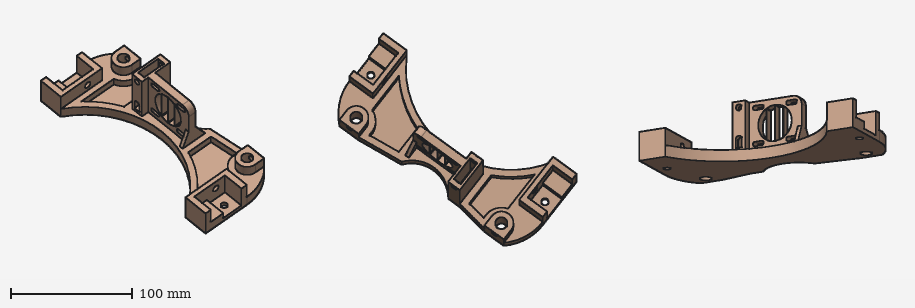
import cadquery as cq
import math

length = 200.0
depth = 80.0
plate_top = 10.0
side_radius = 44.8
front_sagitta = 44.0
saddle_depth = 12.0

box_width = 24.5
box_depth = 46.5
box_top = 25.0
box_floor = 4.0
box_wall_x = 4.5
box_wall_y = 6.0
box_step_y = 20.0
box_hole_diameter = 6.0
box_side_hole_z = 16.5

boss_x = 75.0
boss_y = 70.0
boss_radius = 10.0
boss_top = 20.0
boss_bore_diameter = 10.0
boss_cross_hole_z = 15.0
pin_diameter = 5.2

upright_top = 53.0
tower_left = -36.0
tower_right = -24.0
tower_front = 43.5
tower_back = 75.5
tower_slot_width = 7.2
tower_slot_depth = 22.5
tower_slot_floor = 13.0
tower_window_width = 6.0
tower_window_height = 10.2
tower_pin_z = 47.8
bracket_right = 25.0
bracket_front = 50.5
bracket_back = 58.5
bracket_corner_radius = 8.0
opening_diameter = 31.2
opening_z = 32.0
fin_pitch = 7.8
fin_thickness = 0.5
bracket_slot_offset = 15.5
bracket_slot_length = 10.0
bracket_slot_height = 4.0
gusset_width = 3.5
gusset_height = 16.0
gusset_front_reach = 6.8
gusset_back_reach = 10.8

pocket_floor = 3.0
pocket_margin = 6.0
pocket_outer_x = 70.2

half_length = length / 2
box_inner_x = half_length - box_width
box_pocket_back = box_depth - box_wall_y
box_hole_y = (box_step_y + box_pocket_back) / 2
box_hole_x = half_length - (box_width - box_wall_x) / 2
front_radius = (box_inner_x**2 + front_sagitta**2) / (2 * front_sagitta)
front_center_y = front_sagitta - front_radius
saddle_half_width = -tower_right
tower_x = (tower_left + tower_right) / 2
tower_y = (tower_front + tower_back) / 2
boss_inner_x = boss_x - boss_radius
boss_outer_x = boss_x + boss_radius


def block(x0, x1, y0, y1, z0, z1):
    """Axis-aligned block between two opposite corners."""
    return cq.Workplane("XY").box(x1 - x0, y1 - y0, z1 - z0, centered=False).translate((x0, y0, z0))


def upright_plane(x, y, z):
    """Plane parallel to XZ whose positive extrusion runs towards +Y."""
    return cq.Plane(origin=(x, y, z), xDir=(-1, 0, 0), normal=(0, 1, 0))


def both_sides(half):
    """The given shape together with its mirror image about X = 0."""
    return half.union(half.mirror("YZ"))


def make_plate():
    arc_width = half_length - boss_outer_x
    arc_height = math.sqrt(side_radius**2 - (side_radius - arc_width) ** 2)
    arc_start_y = depth - arc_height
    return (
        cq.Workplane("XY")
        .moveTo(-half_length, 0)
        .lineTo(-box_inner_x, 0)
        .threePointArc((0, front_sagitta), (box_inner_x, 0))
        .lineTo(half_length, 0)
        .lineTo(half_length, arc_start_y)
        .radiusArc((boss_outer_x, depth), -side_radius)
        .lineTo(boss_inner_x, depth)
        .lineTo(saddle_half_width, tower_back)
        .threePointArc((0, tower_back - saddle_depth), (-saddle_half_width, tower_back))
        .lineTo(tower_left, tower_back)
        .lineTo(-boss_inner_x, depth)
        .lineTo(-boss_outer_x, depth)
        .radiusArc((-half_length, arc_start_y), -side_radius)
        .close()
        .extrude(plate_top)
    )


def plate_pocket(side, inner_x, rear_corner_x):
    """Pocket on one side (+1 or -1), keeping a margin to the bosses, arches and rear edge.

    rear_corner_x is where the sloping rear edge of the plate meets the saddle or the tower.
    """
    slope = (depth - tower_back) / (boss_inner_x - rear_corner_x)
    rim_drop = pocket_margin * math.hypot(1, slope)
    front_rim_radius = front_radius + pocket_margin
    boss_rim_radius = boss_radius + pocket_margin
    boss_rim_x = boss_x - boss_rim_radius

    def rear_y(x):
        return tower_back + slope * (x - rear_corner_x) - rim_drop

    def front_y(x):
        return front_center_y + math.sqrt(front_rim_radius**2 - x**2)

    def boss_rim_y(x):
        return boss_y - math.sqrt(boss_rim_radius**2 - (x - boss_x) ** 2)

    def point(x, y):
        return (side * x, y)

    front_middle_x = (inner_x + pocket_outer_x) / 2
    boss_middle_x = (boss_rim_x + pocket_outer_x) / 2
    return (
        cq.Workplane("XY")
        .workplane(offset=pocket_floor)
        .moveTo(*point(inner_x, front_y(inner_x)))
        .threePointArc(
            point(front_middle_x, front_y(front_middle_x)),
            point(pocket_outer_x, front_y(pocket_outer_x)),
        )
        .lineTo(*point(pocket_outer_x, boss_rim_y(pocket_outer_x)))
        .threePointArc(point(boss_middle_x, boss_rim_y(boss_middle_x)), point(boss_rim_x, boss_y))
        .lineTo(*point(boss_rim_x, rear_y(boss_rim_x)))
        .lineTo(*point(inner_x, rear_y(inner_x)))
        .close()
        .extrude(plate_top - pocket_floor)
    )


def make_boss():
    body = cq.Workplane("XY").center(boss_x, boss_y).circle(boss_radius).extrude(boss_top)
    return body.union(block(boss_inner_x, boss_outer_x, boss_y, depth, 0, boss_top))


def boss_holes():
    bore = cq.Workplane("XY").center(boss_x, boss_y).circle(boss_bore_diameter / 2).extrude(boss_top)
    cross_plane = upright_plane(boss_x, boss_y, boss_cross_hole_z)
    cross_hole = cq.Workplane(cross_plane).circle(pin_diameter / 2).extrude(depth - boss_y)
    return bore.union(cross_hole)


def make_box():
    return block(box_inner_x, half_length, 0, box_depth, 0, box_top)


def box_cutouts():
    """Stepped pocket open to the outer side, with a floor hole and a hole through the inner wall."""
    inside_x = box_inner_x + box_wall_x
    upper = block(inside_x, half_length, box_wall_y, box_pocket_back, plate_top, box_top)
    lower = block(inside_x, half_length, box_step_y, box_pocket_back, box_floor, plate_top)
    hole_radius = box_hole_diameter / 2
    floor_hole = cq.Workplane("XY").center(box_hole_x, box_hole_y).circle(hole_radius).extrude(plate_top)
    side_hole = (
        cq.Workplane("YZ", origin=(box_inner_x, box_hole_y, box_side_hole_z))
        .circle(hole_radius)
        .extrude(box_width)
    )
    return upper.union(lower).union(floor_hole).union(side_hole)


def make_tower():
    tower = block(tower_left, tower_right, tower_front, tower_back, 0, upright_top)
    slot = (
        cq.Workplane("XY", origin=(tower_x, tower_y, tower_slot_floor))
        .rect(tower_slot_width, tower_slot_depth)
        .extrude(upright_top - tower_slot_floor)
    )
    pin_plane = upright_plane(tower_x, tower_front, tower_pin_z)
    pin_hole = cq.Workplane(pin_plane).circle(pin_diameter / 2).extrude(tower_back - tower_front)

    half_window = tower_window_width / 2
    spring_height = tower_window_height - half_window
    window = (
        cq.Workplane(upright_plane(tower_x, tower_front, tower_slot_floor))
        .moveTo(-half_window, 0)
        .lineTo(half_window, 0)
        .lineTo(half_window, spring_height)
        .threePointArc((0, tower_window_height), (-half_window, spring_height))
        .close()
        .extrude(tower_y - tower_front)
    )
    return tower.cut(slot).cut(pin_hole).cut(window)


def make_bracket():
    thickness = bracket_back - bracket_front
    plate = block(tower_right, bracket_right, bracket_front, bracket_back, 0, upright_top)
    plate = plate.edges("|Y and >X and >Z").fillet(bracket_corner_radius)

    face = cq.Workplane(upright_plane(0, bracket_front, opening_z))
    opening = face.circle(opening_diameter / 2).extrude(thickness)
    slots = (
        face.rect(2 * bracket_slot_offset, 2 * bracket_slot_offset, forConstruction=True)
        .vertices()
        .slot2D(bracket_slot_length, bracket_slot_height)
        .extrude(thickness)
    )
    for x in (-fin_pitch, 0, fin_pitch):
        fin = block(
            x - fin_thickness / 2, x + fin_thickness / 2, bracket_front, bracket_back, plate_top, upright_top
        )
        opening = opening.cut(fin)
    return plate.cut(opening).cut(slots)


def make_gusset():
    """Sloping ribs in front of and behind the free end of the bracket."""
    gusset_top = plate_top + gusset_height
    return (
        cq.Workplane("YZ", origin=(bracket_right - gusset_width, 0, 0))
        .moveTo(bracket_front - gusset_front_reach, plate_top)
        .lineTo(bracket_front, gusset_top)
        .lineTo(bracket_back, gusset_top)
        .lineTo(bracket_back + gusset_back_reach, plate_top)
        .close()
        .extrude(gusset_width)
    )


result = (
    make_plate()
    .cut(plate_pocket(-1, pocket_margin - tower_left, -tower_left))
    .cut(plate_pocket(1, bracket_right + pocket_margin, saddle_half_width))
    .union(both_sides(make_boss()))
    .union(both_sides(make_box()))
    .cut(both_sides(boss_holes()))
    .cut(both_sides(box_cutouts()))
    .union(make_tower())
    .union(make_bracket())
    .union(make_gusset())
)